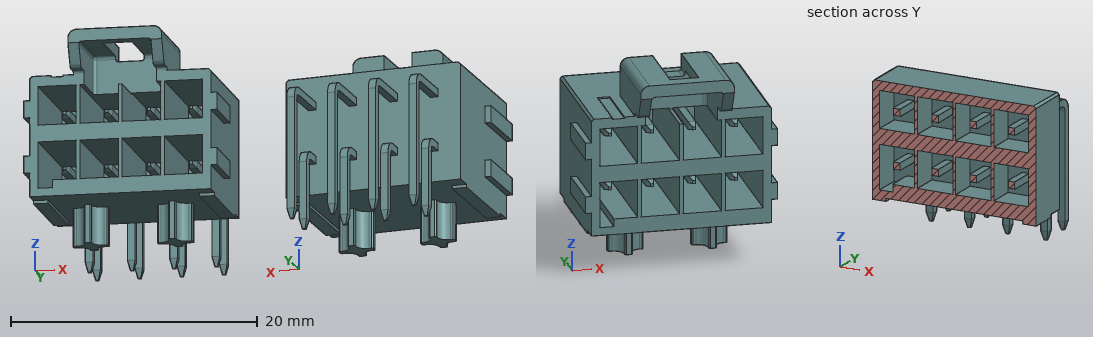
import cadquery as cq


columns = 4
pitch = 3.5
column_xs = [(i - (columns - 1) / 2) * pitch for i in range(columns)]
row_pitch = 4.6
lower_row_z = 2.93
upper_row_z = lower_row_z + row_pitch
row_zs = [lower_row_z, upper_row_z]

body_width = 15.0
body_depth = 11.2
body_height = 10.0
top_edge_chamfer = 0.2
cavity_size = 3.2
side_wall = 0.7
back_wall = 1.6
cavity_depth = body_depth - back_wall

key_width = 1.17
key_drop = 0.65

overall_width = 16.0
rib_height = 1.42
rib_below_row = 0.95
rib_length = 5.24

groove_x = -column_xs[-1]
groove_width = 1.0
groove_depth = 0.12

hood_width = 7.78
hood_top = 13.26
hood_front = -2.2
hood_back = 5.2
hood_edge_radius = 0.72
hood_wall_bottom = 10.25
hood_slope_top = 12.15
hood_slope_foot = -1.25
hood_slope_radius = 0.4
hood_root_radius = 0.13

mouth_width = 5.98
mouth_floor = 9.03
mouth_ceiling = 12.26
mouth_back = 3.84
mouth_radius = 0.28
slot_width = 2.38
slot_front = -1.03
slot_floor = 11.78
slot_corner_radius = 0.24

foot_width = 1.23
foot_height = 0.26
foot_front = 1.47
foot_back = 9.73

peg_x = pitch
peg_y = 5.25
peg_length = 3.15
peg_radius = 1.48
arm_half_width = 0.31
arm_tip_chamfer = 0.11
scallop_radius = 0.84

pin_size = 0.64
pin_bend_radius = 0.45
pin_tip_size = 0.24
pin_tip_length = 0.8
pin_bottom = -3.5
pin_recess = 3.0
upper_pin_y = 16.16
pin_row_spacing = 3.0
pin_ys = [upper_pin_y - pin_row_spacing, upper_pin_y]


def box(x0, x1, y0, y1, z0, z1):
    """Axis-aligned box between two opposite corners."""
    return cq.Workplane("XY").box(x1 - x0, y1 - y0, z1 - z0, centered=False).translate((x0, y0, z0))


def make_body():
    """Housing block with chamfered top edges and the shallow groove in its top face."""
    half = body_width / 2
    body = box(-half, half, 0, body_depth, 0, body_height)
    body = body.edges("|Y and >Z").chamfer(top_edge_chamfer)
    groove_left = groove_x - groove_width / 2
    groove_right = groove_x + groove_width / 2
    groove_floor = body_height - groove_depth
    return body.cut(box(groove_left, groove_right, 0, rib_length, groove_floor, body_height))


def make_ribs():
    """One rib per contact row, standing out on both sides of the housing."""
    ribs = cq.Workplane("XY")
    for z in row_zs:
        rib_bottom = z - rib_below_row
        ribs = ribs.add(
            box(-overall_width / 2, overall_width / 2, 0, rib_length, rib_bottom, rib_bottom + rib_height)
        )
    return ribs.combine()


def make_hood():
    """Solid latch hood: side profile with a sloped nose, rounded along its top edges."""
    profile = (
        cq.Workplane("YZ")
        .moveTo(hood_back, mouth_floor)
        .lineTo(hood_back, hood_top)
        .lineTo(hood_front, hood_top)
        .lineTo(hood_front, hood_slope_top)
        .lineTo(hood_slope_foot, hood_wall_bottom)
        .lineTo(0, hood_wall_bottom)
        .lineTo(0, mouth_floor)
        .close()
    )
    hood = profile.extrude(hood_width / 2, both=True)
    hood = hood.edges("|Y and >Z").fillet(hood_edge_radius)
    foot_point = (0, hood_slope_foot, hood_wall_bottom)
    hood = hood.edges(cq.selectors.NearestToPointSelector(foot_point)).fillet(hood_slope_radius)
    root_point = (0, 0, hood_wall_bottom)
    return hood.edges(cq.selectors.NearestToPointSelector(root_point)).fillet(hood_root_radius)


def make_mouth():
    """Latch opening, from the front of the hood back into the cavities, plus the slot above it."""
    half = mouth_width / 2
    mouth = box(-half, half, hood_front, mouth_back, mouth_floor, mouth_ceiling)
    mouth = mouth.edges("(|Z and >Y) or (|X and >Y and >Z) or (|Y and >Z)").fillet(mouth_radius)
    half_slot = slot_width / 2
    slot = box(-half_slot, half_slot, slot_front, hood_back, slot_floor, hood_top)
    slot = slot.edges("|Y and <Z").fillet(slot_corner_radius)
    return mouth.union(slot)


def make_cavities():
    """One square cavity per contact; the outer columns are trimmed to keep the side wall thickness."""
    inner_half_width = body_width / 2 - side_wall
    half = cavity_size / 2
    cavities = cq.Workplane("XY")
    for x in column_xs:
        for z in row_zs:
            left = max(x - half, -inner_half_width)
            right = min(x + half, inner_half_width)
            cavities = cavities.add(box(left, right, 0, cavity_depth, z - half, z + half))
    key_left = -inner_half_width
    key_bottom = lower_row_z - half - key_drop
    cavities = cavities.add(
        box(key_left, key_left + key_width, 0, cavity_depth, key_bottom, lower_row_z)
    )
    return cavities.combine()


def make_feet():
    """Standoff foot along the underside, mirrored to the other side."""
    half = body_width / 2
    left = box(-half, foot_width - half, foot_front, foot_back, -foot_height, 0)
    return left.union(left.mirror("YZ"))


def make_peg(x):
    """Four chamfered arms crossing at the centre, built from four equal quarters.

    A concave arc fills every corner between neighbouring arms.
    """
    arm_root = arm_half_width + scallop_radius
    tip_half_width = arm_half_width - arm_tip_chamfer
    shoulder = peg_radius - arm_tip_chamfer
    quarter = (
        cq.Workplane("XY")
        .lineTo(peg_radius, 0)
        .lineTo(peg_radius, tip_half_width)
        .lineTo(shoulder, arm_half_width)
        .lineTo(arm_root, arm_half_width)
        .radiusArc((arm_half_width, arm_root), scallop_radius)
        .lineTo(arm_half_width, shoulder)
        .lineTo(tip_half_width, peg_radius)
        .lineTo(0, peg_radius)
        .close()
        .extrude(-peg_length)
    )
    peg = quarter
    for turn in range(1, 4):
        peg = peg.union(quarter.rotate((0, 0, 0), (0, 0, 1), 90 * turn))
    return peg.translate((x, peg_y, 0))


def make_pin(x, y, z):
    """Square contact: forward blade at height z, bent down into a tail at depth y."""
    half = pin_size / 2
    front = pin_recess + pin_tip_length
    bottom = pin_bottom + pin_tip_length
    outer_radius = pin_bend_radius + pin_size
    pin = (
        cq.Workplane("YZ")
        .moveTo(front, z + half)
        .lineTo(y + half - outer_radius, z + half)
        .radiusArc((y + half, z + half - outer_radius), outer_radius)
        .lineTo(y + half, bottom)
        .lineTo(y - half, bottom)
        .lineTo(y - half, z - half - pin_bend_radius)
        .radiusArc((y - half - pin_bend_radius, z - half), -pin_bend_radius)
        .lineTo(front, z - half)
        .close()
        .extrude(half, both=True)
    )
    for face in ("<Y", "<Z"):
        pin = (
            pin.faces(face)
            .workplane(centerOption="CenterOfMass")
            .rect(pin_size, pin_size)
            .workplane(offset=pin_tip_length)
            .rect(pin_tip_size, pin_tip_size)
            .loft(combine=True)
        )
    return pin.translate((x, 0, 0))


result = make_body().union(make_ribs()).union(make_hood())
result = result.cut(make_mouth()).cut(make_cavities())
result = result.union(make_feet())
for side in (-1, 1):
    result = result.union(make_peg(side * peg_x))
for pin_x in column_xs:
    for pin_y, pin_z in zip(pin_ys, row_zs):
        result = result.union(make_pin(pin_x, pin_y, pin_z))